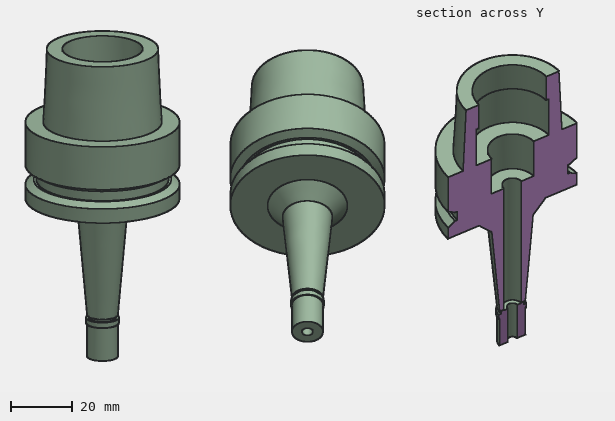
import cadquery as cq

total_height = 105.0
flange_top = 80.0
groove_upper_edge = 65.4
groove_lower_edge = 58.8
groove_bevel_height = 1.6
flange_bottom = 54.0
neck_top = 49.0
neck_bottom = 14.2
nut_collar_top = 13.2
nut_collar_bottom = 11.3

flange_radius = 25.0
shank_end_radius = 18.1
shank_base_radius = 19.2
groove_bevel_radius = 22.3
groove_floor_radius = 21.4
shoulder_radius = 12.9
neck_top_radius = 8.1
nut_radius = 5.0
neck_end_radius = nut_radius
nut_relief_radius = 4.4
nut_collar_radius = 5.4

mouth_radius = 13.0
mouth_depth = 10.1
chamber_radius = 14.0
chamber_floor = flange_top
pocket_radius = 8.1
pocket_floor = groove_upper_edge
holder_bore_radius = 3.4
nut_bore_radius = 1.8


def revolve_profile(points):
    """Revolve a closed (radius, height) outline about the Z axis."""
    return cq.Workplane("XZ").polyline(points).close().revolve(360, (0, 0, 0), (0, 1, 0))


def cylinder(radius, bottom, top):
    """Upright cylinder on the Z axis between two heights."""
    return cq.Workplane("XY").workplane(offset=bottom).circle(radius).extrude(top - bottom)


def make_holder():
    """Hollow tapered shank, grooved flange and slender tapered neck."""
    bevel_top = groove_upper_edge - groove_bevel_height
    bevel_bottom = groove_lower_edge + groove_bevel_height
    body = revolve_profile([
        (0, total_height),
        (shank_end_radius, total_height),
        (shank_base_radius, flange_top),
        (flange_radius, flange_top),
        (flange_radius, groove_upper_edge),
        (groove_bevel_radius, bevel_top),
        (groove_floor_radius, bevel_top),
        (groove_floor_radius, bevel_bottom),
        (groove_bevel_radius, bevel_bottom),
        (flange_radius, groove_lower_edge),
        (flange_radius, flange_bottom),
        (shoulder_radius, flange_bottom),
        (neck_top_radius, neck_top),
        (neck_end_radius, neck_bottom),
        (0, neck_bottom),
    ])
    mouth_bottom = total_height - mouth_depth
    bore_steps = [
        (mouth_radius, mouth_bottom, total_height),
        (chamber_radius, chamber_floor, mouth_bottom),
        (pocket_radius, pocket_floor, chamber_floor),
        (holder_bore_radius, neck_bottom, pocket_floor),
    ]
    for radius, bottom, top in bore_steps:
        body = body.cut(cylinder(radius, bottom, top))
    return body


def make_nut():
    """Collared nut below the neck, with a relief above the collar and a through bore."""
    body = cylinder(nut_radius, 0, nut_collar_bottom)
    body = body.union(cylinder(nut_collar_radius, nut_collar_bottom, nut_collar_top))
    body = body.union(cylinder(nut_relief_radius, nut_collar_top, neck_bottom))
    return body.cut(cylinder(nut_bore_radius, 0, neck_bottom))


holder = make_holder()
nut = make_nut()
result = cq.Compound.makeCompound([holder.val(), nut.val()])